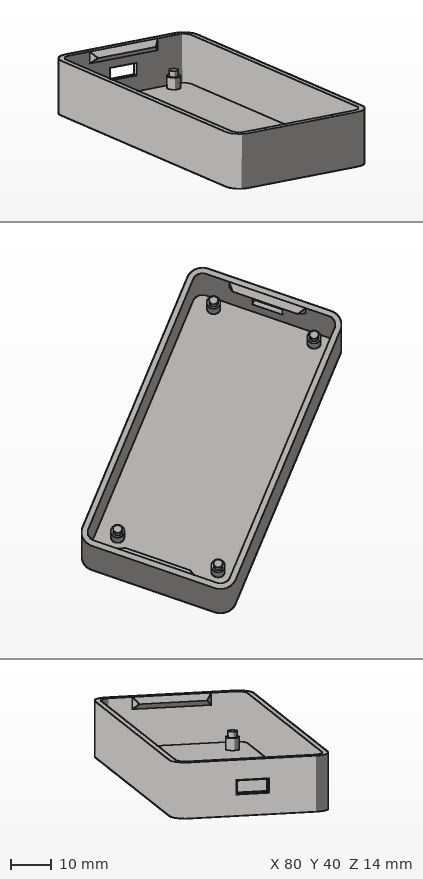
import cadquery as cq

LENGTH = 80.0
WIDTH = 40.0
HEIGHT = 14.0
WALL = 1.5
FLOOR = 1.5
CORNER_RADIUS = 4.0
INNER_LENGTH = LENGTH - 2 * WALL
INNER_WIDTH = WIDTH - 2 * WALL

SNAP_LENGTH = 20.0
SNAP_HEIGHT = 3.0
SNAP_DEPTH = SNAP_HEIGHT / 2
SNAP_TOP_Z = HEIGHT

PORT_WIDTH = 7.8
PORT_HEIGHT = 3.2
PORT_CENTER_Z = 7.2
PORT_CHAMFER = 0.2

PIN_BASE_DIAMETER = 3.4
PIN_TIP_DIAMETER = 2.2
PIN_BASE_HEIGHT = 3.0
PIN_TIP_HEIGHT = 1.5
PIN_LEFT_X = -36.0
PIN_RIGHT_X = 30.0
PIN_Y = 13.1


def rounded_block(length, width, height, radius, bottom_z):
    """Block centred on the Z axis with rounded vertical edges."""
    block = cq.Workplane("XY").workplane(offset=bottom_z).rect(length, width).extrude(height)
    return block.edges("|Z").fillet(radius)


def snap_ridge(side):
    """Snap ridge on the +X (side = 1) or -X (side = -1) wall, pointing inward."""
    wall_x = side * INNER_LENGTH / 2
    tip_x = wall_x - side * SNAP_DEPTH
    base_z = SNAP_TOP_Z - SNAP_HEIGHT
    ridge_z = SNAP_TOP_Z - SNAP_DEPTH
    half_base = SNAP_LENGTH / 2
    half_ridge = half_base - SNAP_DEPTH

    upper_right = cq.Vector(wall_x, half_base, SNAP_TOP_Z)
    upper_left = cq.Vector(wall_x, -half_base, SNAP_TOP_Z)
    lower_right = cq.Vector(wall_x, half_base, base_z)
    lower_left = cq.Vector(wall_x, -half_base, base_z)
    ridge_right = cq.Vector(tip_x, half_ridge, ridge_z)
    ridge_left = cq.Vector(tip_x, -half_ridge, ridge_z)

    outlines = [
        [upper_left, upper_right, lower_right, lower_left],
        [upper_left, upper_right, ridge_right, ridge_left],
        [lower_left, lower_right, ridge_right, ridge_left],
        [upper_right, lower_right, ridge_right],
        [upper_left, lower_left, ridge_left],
    ]
    faces = [cq.Face.makeFromWires(cq.Wire.makePolygon(points, close=True)) for points in outlines]
    return cq.Workplane(cq.Solid.makeSolid(cq.Shell.makeShell(faces)).fix())


def port_cutter():
    """Rectangular opening through the -X wall, chamfered around its outer rim."""
    outer_face = cq.Workplane("YZ", origin=(-LENGTH / 2, 0, PORT_CENTER_Z))
    opening = outer_face.rect(PORT_WIDTH, PORT_HEIGHT).extrude(WALL)
    rim = (
        outer_face.rect(PORT_WIDTH + 2 * PORT_CHAMFER, PORT_HEIGHT + 2 * PORT_CHAMFER)
        .workplane(offset=PORT_CHAMFER)
        .rect(PORT_WIDTH, PORT_HEIGHT)
        .loft(ruled=True)
    )
    return opening.union(rim)


def make_housing():
    """Tray with two snap ridges and a connector port."""
    outer = rounded_block(LENGTH, WIDTH, HEIGHT, CORNER_RADIUS, 0)
    cavity = rounded_block(INNER_LENGTH, INNER_WIDTH, HEIGHT - FLOOR, CORNER_RADIUS - WALL, FLOOR)
    tray = outer.cut(cavity)
    for side in (-1, 1):
        tray = tray.union(snap_ridge(side))
    return tray.cut(port_cutter())


def make_pin(x, y):
    """Stepped pin resting on the floor at (x, y)."""
    base = cq.Workplane("XY", origin=(x, y, FLOOR)).circle(PIN_BASE_DIAMETER / 2).extrude(PIN_BASE_HEIGHT)
    return base.faces(">Z").workplane().circle(PIN_TIP_DIAMETER / 2).extrude(PIN_TIP_HEIGHT)


housing = make_housing()
pins = [make_pin(x, y) for x in (PIN_LEFT_X, PIN_RIGHT_X) for y in (-PIN_Y, PIN_Y)]

result = cq.Compound.makeCompound([housing.val(), *[pin.val() for pin in pins]])